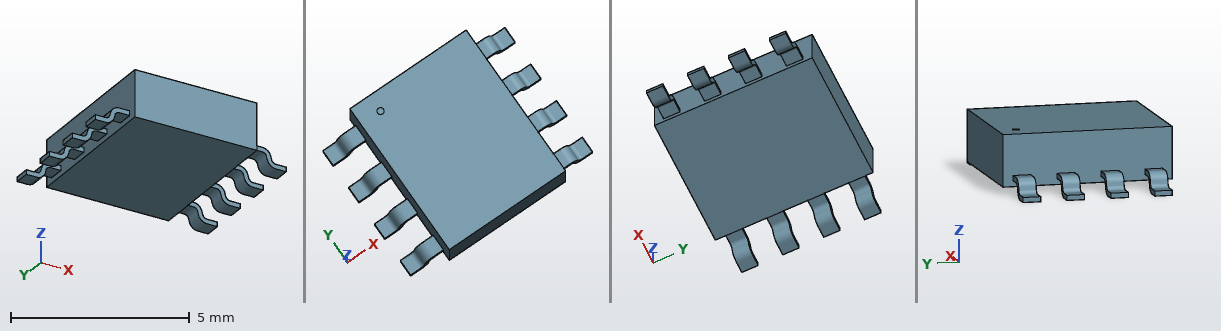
import cadquery as cq
import math

overall_span = 6.2
overall_height = 1.75

housing_width = 3.96
housing_length = 4.9
housing_height = 1.5
housing_bottom = overall_height - housing_height

marker_diameter = 0.2
marker_depth = 0.1
marker_from_side = 0.67
marker_from_end = 0.545
marker_x = -housing_width / 2 + marker_from_side
marker_y = housing_length / 2 - marker_from_end

leads_per_side = 4
lead_pitch = 1.27
lead_width = 0.51
lead_thickness = 0.15
lead_height = 0.57
foot_length = 0.335
inner_bend_radius = 0.14
outer_bend_radius = inner_bend_radius + lead_thickness
bend_angle = 75.0


def make_marker():
    """Flat disc whose top face is level with the housing top."""
    return (
        cq.Workplane("XY", origin=(marker_x, marker_y, overall_height - marker_depth))
        .circle(marker_diameter / 2)
        .extrude(marker_depth)
    )


def make_housing(marker):
    """Plain block with a recess that the marker fills."""
    block = (
        cq.Workplane("XY", origin=(0, 0, housing_bottom))
        .rect(housing_width, housing_length)
        .extrude(housing_height)
    )
    return block.cut(marker)


def make_left_lead(center_y):
    """S-shaped strip from the foot tip on the -X side up to the housing wall."""
    tip_x = -overall_span / 2
    wall_x = -housing_width / 2
    steep = math.radians(bend_angle)

    bend_radius_sum = inner_bend_radius + outer_bend_radius
    rise = lead_height - lead_thickness
    slope_length = (rise - bend_radius_sum * (1 - math.cos(steep))) / math.sin(steep)
    bend_span = bend_radius_sum * math.sin(steep) + slope_length * math.cos(steep)

    foot_bend_x = tip_x + foot_length
    foot_bend_z = lead_thickness + inner_bend_radius
    shoulder_bend_x = foot_bend_x + bend_span
    shoulder_bend_z = lead_height - outer_bend_radius

    def foot_point(radius, turn):
        return (foot_bend_x + radius * math.sin(turn), foot_bend_z - radius * math.cos(turn))

    def shoulder_point(radius, turn):
        return (shoulder_bend_x - radius * math.sin(turn), shoulder_bend_z + radius * math.cos(turn))

    profile = (
        cq.Workplane("XZ", origin=(0, center_y + lead_width / 2, 0))
        .moveTo(tip_x, 0)
        .lineTo(*foot_point(outer_bend_radius, 0))
        .threePointArc(foot_point(outer_bend_radius, steep / 2), foot_point(outer_bend_radius, steep))
        .lineTo(*shoulder_point(inner_bend_radius, steep))
        .threePointArc(shoulder_point(inner_bend_radius, steep / 2), shoulder_point(inner_bend_radius, 0))
        .lineTo(wall_x, lead_height - lead_thickness)
        .lineTo(wall_x, lead_height)
        .lineTo(*shoulder_point(outer_bend_radius, 0))
        .threePointArc(shoulder_point(outer_bend_radius, steep / 2), shoulder_point(outer_bend_radius, steep))
        .lineTo(*foot_point(inner_bend_radius, steep))
        .threePointArc(foot_point(inner_bend_radius, steep / 2), foot_point(inner_bend_radius, 0))
        .lineTo(tip_x, lead_thickness)
        .close()
    )
    return profile.extrude(lead_width)


marker = make_marker()
housing = make_housing(marker)

leads = []
for index in range(leads_per_side):
    row_y = (index - (leads_per_side - 1) / 2) * lead_pitch
    left_lead = make_left_lead(row_y)
    right_lead = left_lead.mirror("YZ")
    leads.append(left_lead.val())
    leads.append(right_lead.val())

result = cq.Compound.makeCompound([housing.val(), marker.val(), *leads])